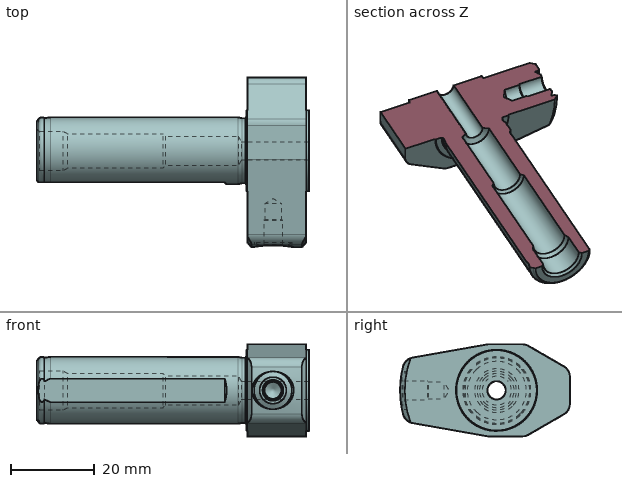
import cadquery as cq
import math

TOTAL_LENGTH = 65.0

SHAFT_RADIUS = 16.0 / 2
GROOVE_RADIUS = 15.6 / 2
TIP_RADIUS = 7.0
TIP_CHAMFER_RISE = 0.45
BEAD_RADIUS = 1.0
BEAD_END_X = 1.9
TAPER_END_X = 3.3
RELIEF_START_X = 47.9
RELIEF_FLOOR_X = 48.9
RELIEF_END_X = 49.7
SHOULDER_X = 50.0
SHOULDER_RADIUS = 8.1

FLAT_OFFSET = 7.5
FLAT_END_X = 44.8

BORE_MOUTH_RADIUS = 10.5 / 2
BORE_RADIUS = 9.3 / 2
BORE_DEPTH = 6.3
BORE_TAPER_ANGLE = 28.0
SEAT_RADIUS = 8.2 / 2
SEAT_DEPTH = 30.0
DRILL_RADIUS = 6.9 / 2
DRILL_DEPTH = 48.0
THROUGH_RADIUS = 4.3 / 2
DRILL_TIP_ANGLE = 118.0

HEAD_START_X = 50.2
HEAD_END_X = 64.2
HEAD_HALF_HEIGHT = 22.0 / 2
HEAD_BACK_Y = 17.5
HEAD_FRONT_RADIUS = 23.0
BACK_CORNER_Y = 6.9
BACK_SLOPE = 30.0
FRONT_CORNER_Y = -2.0
FRONT_SLOPE = 10.0
HEAD_FILLET = 3.0
FRONT_CHAMFER_LENGTH = 1.0
FRONT_CHAMFER_DEPTH = 1.15
EDGE_TOLERANCE = 0.1

BOSS_RADIUS = 9.7
BOSS_CHAMFER = 0.15

PORT_X = 56.3
PORT_SEAT_RADIUS = 9.0 / 2
PORT_FLARE = 0.46
PORT_NOSE_RADIUS = 6.35 / 2
PORT_NOSE_SLOPE = 30.0
PORT_MOUTH_RADIUS = 5.0 / 2
PORT_BORE_RADIUS = 4.5 / 2
PORT_BORE_DEPTH = 6.0
PORT_DRILL_RADIUS = 4.0 / 2
PORT_DRILL_DEPTH = 10.0


def tip_length(large_radius, small_radius=0.0):
    """Axial length of a drill-point cone between two radii."""
    return (large_radius - small_radius) / math.tan(math.radians(DRILL_TIP_ANGLE / 2))


def revolve_about_x(profile):
    return profile.close().revolve(360, (0, 0, 0), (1, 0, 0))


def bead_offset(radius):
    """Axial distance from the crest of the bead to where its arc has the given radius."""
    drop = SHAFT_RADIUS - radius
    return math.sqrt(2 * BEAD_RADIUS * drop - drop**2)


def make_shaft():
    bead_start_radius = TIP_RADIUS + TIP_CHAMFER_RISE
    bead_crest_x = BEAD_END_X - bead_offset(GROOVE_RADIUS)
    bead_start_x = bead_crest_x - bead_offset(bead_start_radius)
    profile = (
        cq.Workplane("XY")
        .lineTo(0, TIP_RADIUS)
        .lineTo(bead_start_x, bead_start_radius)
        .threePointArc((bead_crest_x, SHAFT_RADIUS), (BEAD_END_X, GROOVE_RADIUS))
        .lineTo(TAPER_END_X, SHAFT_RADIUS)
        .lineTo(RELIEF_START_X, SHAFT_RADIUS)
        .lineTo(RELIEF_FLOOR_X, GROOVE_RADIUS)
        .lineTo(RELIEF_END_X, GROOVE_RADIUS)
        .lineTo(SHOULDER_X, SHOULDER_RADIUS)
        .lineTo(HEAD_START_X, SHOULDER_RADIUS)
        .lineTo(HEAD_START_X, 0)
    )
    return revolve_about_x(profile)


def make_flat_cutter():
    """Block below the flat, with a 45 degree run-out at the head end."""
    depth = SHAFT_RADIUS
    return (
        cq.Workplane("XY")
        .moveTo(-depth, -FLAT_OFFSET)
        .lineTo(FLAT_END_X, -FLAT_OFFSET)
        .lineTo(FLAT_END_X + depth, -FLAT_OFFSET - depth)
        .lineTo(-depth, -FLAT_OFFSET - depth)
        .close()
        .extrude(SHAFT_RADIUS, both=True)
    )


def make_head():
    back_z = HEAD_HALF_HEIGHT - (HEAD_BACK_Y - BACK_CORNER_Y) * math.tan(math.radians(BACK_SLOPE))

    slope = math.radians(FRONT_SLOPE)
    line_distance = HEAD_HALF_HEIGHT * math.cos(slope) - FRONT_CORNER_Y * math.sin(slope)
    along = math.sqrt(HEAD_FRONT_RADIUS**2 - line_distance**2)
    front_y = -line_distance * math.sin(slope) - along * math.cos(slope)
    front_z = line_distance * math.cos(slope) - along * math.sin(slope)

    block = (
        cq.Workplane("YZ", origin=(HEAD_START_X, 0, 0))
        .moveTo(HEAD_BACK_Y, -back_z)
        .lineTo(HEAD_BACK_Y, back_z)
        .lineTo(BACK_CORNER_Y, HEAD_HALF_HEIGHT)
        .lineTo(FRONT_CORNER_Y, HEAD_HALF_HEIGHT)
        .lineTo(front_y, front_z)
        .threePointArc((-HEAD_FRONT_RADIUS, 0), (front_y, -front_z))
        .lineTo(FRONT_CORNER_Y, -HEAD_HALF_HEIGHT)
        .lineTo(BACK_CORNER_Y, -HEAD_HALF_HEIGHT)
        .close()
        .extrude(HEAD_END_X - HEAD_START_X)
    )
    rounded = (
        block.edges("|X")
        .filter(lambda edge: abs(edge.Center().y - FRONT_CORNER_Y) > EDGE_TOLERANCE)
        .fillet(HEAD_FILLET)
    )

    rim_radius = HEAD_FRONT_RADIUS - FRONT_CHAMFER_DEPTH
    disc = revolve_about_x(
        cq.Workplane("XY")
        .moveTo(HEAD_START_X, 0)
        .lineTo(HEAD_START_X, rim_radius)
        .lineTo(HEAD_START_X + FRONT_CHAMFER_LENGTH, HEAD_FRONT_RADIUS)
        .lineTo(HEAD_END_X - FRONT_CHAMFER_LENGTH, HEAD_FRONT_RADIUS)
        .lineTo(HEAD_END_X, rim_radius)
        .lineTo(HEAD_END_X, 0)
    )
    return rounded.intersect(disc)


def make_bosses():
    """One disc through the head that stands proud of both faces."""
    return (
        cq.Workplane("YZ", origin=(SHOULDER_X, 0, 0))
        .circle(BOSS_RADIUS)
        .extrude(TOTAL_LENGTH - SHOULDER_X)
        .edges()
        .chamfer(BOSS_CHAMFER)
    )


def make_bore_cutter():
    mouth_length = BORE_MOUTH_RADIUS - BORE_RADIUS
    taper_length = (BORE_RADIUS - SEAT_RADIUS) / math.tan(math.radians(BORE_TAPER_ANGLE))
    profile = (
        cq.Workplane("XY")
        .lineTo(0, BORE_MOUTH_RADIUS)
        .lineTo(mouth_length, BORE_RADIUS)
        .lineTo(BORE_DEPTH, BORE_RADIUS)
        .lineTo(BORE_DEPTH + taper_length, SEAT_RADIUS)
        .lineTo(SEAT_DEPTH, SEAT_RADIUS)
        .lineTo(SEAT_DEPTH + SEAT_RADIUS - DRILL_RADIUS, DRILL_RADIUS)
        .lineTo(DRILL_DEPTH, DRILL_RADIUS)
        .lineTo(DRILL_DEPTH + tip_length(DRILL_RADIUS, THROUGH_RADIUS), THROUGH_RADIUS)
        .lineTo(TOTAL_LENGTH, THROUGH_RADIUS)
        .lineTo(TOTAL_LENGTH, 0)
    )
    return revolve_about_x(profile)


def make_port_cutter():
    """Flared seat with a raised conical nose, around a stepped blind hole.

    The flat top of the nose is level with the lower edge of the flare.
    """
    nose_y = PORT_FLARE - HEAD_FRONT_RADIUS
    groove_y = nose_y + (PORT_SEAT_RADIUS - PORT_NOSE_RADIUS) * math.tan(math.radians(PORT_NOSE_SLOPE))
    bore_end_y = nose_y + PORT_BORE_DEPTH
    drill_end_y = nose_y + PORT_DRILL_DEPTH
    return (
        cq.Workplane("XY", origin=(PORT_X, 0, 0))
        .moveTo(0, -HEAD_FRONT_RADIUS)
        .lineTo(PORT_SEAT_RADIUS + PORT_FLARE, -HEAD_FRONT_RADIUS)
        .lineTo(PORT_SEAT_RADIUS, nose_y)
        .lineTo(PORT_SEAT_RADIUS, groove_y)
        .lineTo(PORT_NOSE_RADIUS, nose_y)
        .lineTo(PORT_MOUTH_RADIUS, nose_y)
        .lineTo(PORT_BORE_RADIUS, nose_y + PORT_MOUTH_RADIUS - PORT_BORE_RADIUS)
        .lineTo(PORT_BORE_RADIUS, bore_end_y)
        .lineTo(PORT_DRILL_RADIUS, bore_end_y + PORT_BORE_RADIUS - PORT_DRILL_RADIUS)
        .lineTo(PORT_DRILL_RADIUS, drill_end_y)
        .lineTo(0, drill_end_y + tip_length(PORT_DRILL_RADIUS))
        .close()
        .revolve(360, (0, 0, 0), (0, 1, 0))
    )


shaft = make_shaft().cut(make_flat_cutter())
body = shaft.union(make_bosses()).union(make_head())
result = body.cut(make_bore_cutter()).cut(make_port_cutter())